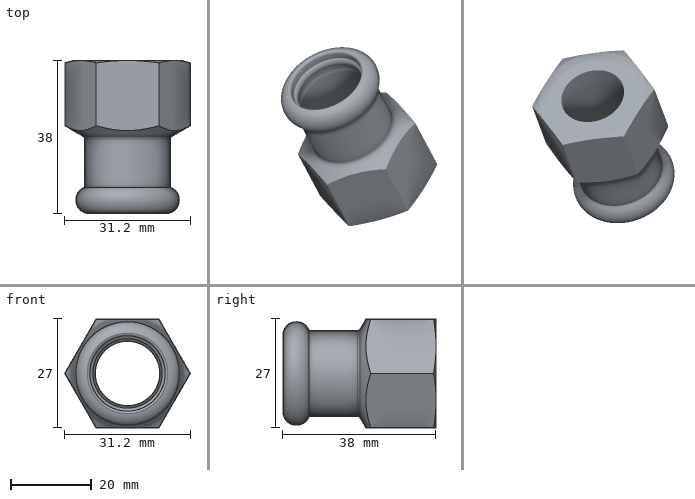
import cadquery as cq
import math


total_length = 38.0
bead_width = 6.5
neck_cone_distance = 19.05

across_flats = 27.0
neck_radius = 21.3 / 2
bead_radius = 25.7 / 2
bead_crest_y = 3.2
shoulder_angle = 30.0
shoulder_fillet = 0.75
end_chamfer_depth = 0.6

mouth_radius = 20.0 / 2
entry_radius = 18.7 / 2
entry_end_y = 5.75
socket_radius = 18.3 / 2
socket_start_y = 6.7
socket_end_y = 18.0
through_radius = 16.0 / 2

seal_outer_radius = 22.0 / 2
seal_inner_radius = 17.2 / 2
seal_y = 3.25

flat_radius = across_flats / 2
corner_radius = flat_radius / math.cos(math.radians(30))
mouth_rounding = mouth_radius - entry_radius
seal_section_radius = (seal_outer_radius - seal_inner_radius) / 2
seal_centre_radius = (seal_outer_radius + seal_inner_radius) / 2
seal_half_width = math.sqrt(seal_section_radius**2 - (seal_centre_radius - entry_radius) ** 2)
neck_end_y = total_length - neck_cone_distance
cone_length = (corner_radius - neck_radius) * math.tan(math.radians(shoulder_angle))


def revolve_about_y(profile):
    """Turn a closed (radius, y) profile a full revolution about the Y axis."""
    return profile.close().revolve(360, (0, 0, 0), (0, 1, 0))


def make_turned_envelope():
    """Round outside: bead, neck, shoulder cone and chamfered end."""
    turn = math.radians(90 - shoulder_angle)
    tangent = shoulder_fillet * math.tan(turn / 2)
    neck_tangent = (neck_radius, neck_end_y - tangent)
    cone_tangent = (neck_radius + tangent * math.sin(turn), neck_end_y + tangent * math.cos(turn))
    arc_middle = (
        neck_radius + shoulder_fillet * (1 - math.cos(turn / 2)),
        neck_end_y - tangent + shoulder_fillet * math.sin(turn / 2),
    )
    profile = (
        cq.Workplane("XY")
        .lineTo(mouth_radius, 0)
        .threePointArc((bead_radius, bead_crest_y), (neck_radius, bead_width))
        .lineTo(*neck_tangent)
        .threePointArc(arc_middle, cone_tangent)
        .lineTo(corner_radius, neck_end_y + cone_length)
        .lineTo(corner_radius, total_length - end_chamfer_depth)
        .lineTo(flat_radius, total_length)
        .lineTo(0, total_length)
    )
    return revolve_about_y(profile)


def make_hexagon():
    """Full-length hexagonal prism with flats facing +Z and -Z."""
    return cq.Workplane("XZ").polygon(6, 2 * corner_radius).extrude(-total_length)


def make_bore():
    """Stepped bore: rounded mouth, entry narrowed by the seal ring, press socket and through hole."""
    rounding_middle = mouth_rounding * math.sin(math.radians(45))
    profile = (
        cq.Workplane("XY")
        .lineTo(mouth_radius, 0)
        .threePointArc(
            (mouth_radius - rounding_middle, mouth_rounding - rounding_middle),
            (entry_radius, mouth_rounding),
        )
        .lineTo(entry_radius, seal_y - seal_half_width)
        .threePointArc((seal_inner_radius, seal_y), (entry_radius, seal_y + seal_half_width))
        .lineTo(entry_radius, entry_end_y)
        .lineTo(socket_radius, socket_start_y)
        .lineTo(socket_radius, socket_end_y)
        .lineTo(through_radius, socket_end_y)
        .lineTo(through_radius, total_length)
        .lineTo(0, total_length)
    )
    return revolve_about_y(profile)


result = make_turned_envelope().intersect(make_hexagon()).cut(make_bore())